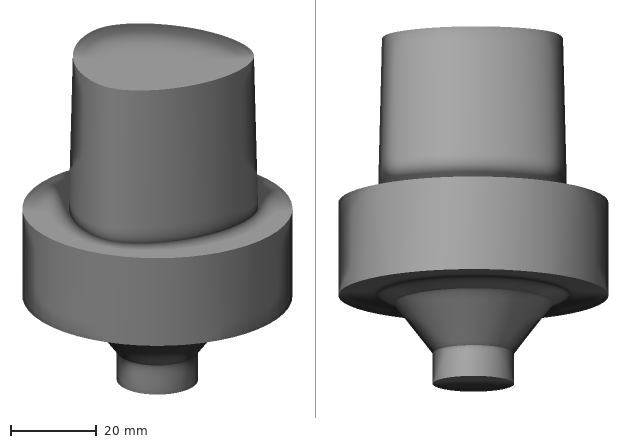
import cadquery as cq
import math

FLANGE_DIAMETER = 62.98
FLANGE_HEIGHT = 22.0
SHANK_HEIGHT = 38.0

SHANK_BASE_WIDTH = 44.12
SHANK_TAPER = 1 / 20
SHANK_TOP_WIDTH = SHANK_BASE_WIDTH - SHANK_TAPER * SHANK_HEIGHT
LOBE_HEIGHT = 1.4
LOBE_COUNT = 3
CURVE_POINTS = 36

SHALLOW_CONE_TOP_DIAMETER = 45.0
SHALLOW_CONE_HEIGHT = 2.0
STEEP_CONE_TOP_DIAMETER = 37.0
PIN_DIAMETER = 19.0
PIN_HEIGHT = 7.3
TOTAL_HEIGHT = 81.0


def lobe_point(width, angle):
    """Point of a constant-width curve whose support distance is width/2 + lobe height * cos(3 * angle)."""
    turn = angle - math.pi / 2
    support = width / 2 + LOBE_HEIGHT * math.cos(LOBE_COUNT * angle)
    slope = -LOBE_COUNT * LOBE_HEIGHT * math.sin(LOBE_COUNT * angle)
    x = support * math.cos(turn) - slope * math.sin(turn)
    y = support * math.sin(turn) + slope * math.cos(turn)
    return (x, y)


def lobed_wire(plane, width):
    """Closed smooth lobed outline on the given workplane, with its seam on the -Y lobe."""
    angles = [2 * math.pi * i / CURVE_POINTS for i in range(CURVE_POINTS)]
    points = [lobe_point(width, angle) for angle in angles]
    return plane.spline(points, periodic=True).close()


def make_shank():
    base = lobed_wire(cq.Workplane("XY"), SHANK_BASE_WIDTH)
    top = lobed_wire(base.workplane(offset=SHANK_HEIGHT), SHANK_TOP_WIDTH)
    return top.loft(ruled=True, combine=True)


def make_flange_and_nose():
    """Revolved body: flange, two cones and pin, outlined in the XZ plane."""
    nose_top = -FLANGE_HEIGHT
    cone_break = nose_top - SHALLOW_CONE_HEIGHT
    nose_bottom = SHANK_HEIGHT - TOTAL_HEIGHT
    pin_top = nose_bottom + PIN_HEIGHT
    outline = [
        (0, 0),
        (FLANGE_DIAMETER / 2, 0),
        (FLANGE_DIAMETER / 2, nose_top),
        (SHALLOW_CONE_TOP_DIAMETER / 2, nose_top),
        (STEEP_CONE_TOP_DIAMETER / 2, cone_break),
        (PIN_DIAMETER / 2, pin_top),
        (PIN_DIAMETER / 2, nose_bottom),
        (0, nose_bottom),
    ]
    return cq.Workplane("XZ").polyline(outline).close().revolve(360, (0, 0, 0), (0, 1, 0))


body = make_flange_and_nose().union(make_shank())
result = cq.Workplane("XY").newObject([body.solids().val()])